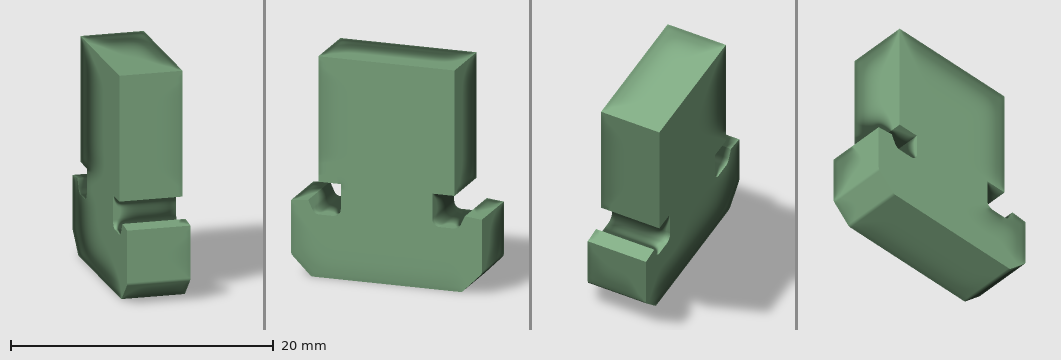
import cadquery as cq
import math

width = 15.4
thickness = 5.0
height = 17.6

head_width = 11.0
head_height = 10.0
neck_width = 7.4

groove_floor_z = 5.0
lip_outer_z = 5.93
lip_tip_z = 6.07
lip_top_width = 1.37
lip_lean_degrees = 25.0
groove_radius = 0.6
foot_chamfer = 1.62
chamfer_edge_radius = 0.35

half_width = width / 2
half_head = head_width / 2
half_neck = neck_width / 2
half_base = half_width - foot_chamfer
head_bottom_z = height - head_height
lip_tip_x = half_width - lip_top_width
lip_lean = math.radians(lip_lean_degrees)
lip_root_x = lip_tip_x - (lip_tip_z - groove_floor_z) * math.tan(lip_lean)

right_side = [
    (half_base, 0),
    (half_width, foot_chamfer),
    (half_width, lip_outer_z),
    (lip_tip_x, lip_tip_z),
    (lip_root_x, groove_floor_z),
    (half_neck, groove_floor_z),
    (half_neck, head_bottom_z),
    (half_head, head_bottom_z),
    (half_head, height),
]
left_side = [(-x, z) for x, z in reversed(right_side)]

body = (
    cq.Workplane("XZ")
    .polyline(right_side + left_side)
    .close()
    .extrude(thickness / 2, both=True)
)


def round_corners(solid, corners, radius):
    """Round the edges along Y at the given (x, z) corners, on both sides of the part."""
    for x, z in corners:
        for side in (-1, 1):
            edge = cq.selectors.NearestToPointSelector((side * x, 0, z))
            solid = solid.edges("|Y").edges(edge).fillet(radius)
    return solid


groove_corners = [(lip_root_x, groove_floor_z), (half_neck, groove_floor_z)]
chamfer_corners = [(half_base, 0), (half_width, foot_chamfer)]

body = round_corners(body, groove_corners, groove_radius)
result = round_corners(body, chamfer_corners, chamfer_edge_radius)